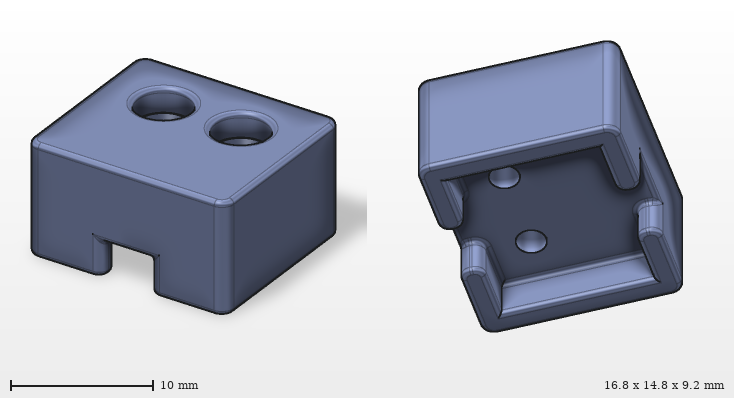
import cadquery as cq

length = 16.8
width = 14.8
height = 9.2
corner_radius = 1.0
edge_radius = 0.4

wall = 1.8
cavity_length = length - 2 * wall
cavity_width = width - 2 * wall
cavity_height = 3.0

slot_width = 4.0
slot_side_radius = 0.8
mouth_roof_radius = 0.4
ceiling_radius = 0.4

hole_spacing = 6.5
hole_back_margin = 5.0
hole_diameter = 2.2
head_diameter = 4.4
seat_diameter = 4.2
head_depth = 2.0
seat_depth = (seat_diameter - hole_diameter) / 2
hole_y = width / 2 - hole_back_margin


def make_block():
    """Block standing on Z = 0 with rounded upright corners."""
    block = cq.Workplane("XY").box(length, width, height, centered=(True, True, False))
    return block.edges("|Z").fillet(corner_radius)


def make_underside_plan():
    """Prism of the hollow and both slots, with rounded upright slot edges."""
    half_slot = slot_width / 2
    half_mouth = half_slot + slot_side_radius
    half_cavity = cavity_length / 2
    outer_y = width / 2
    inner_y = cavity_width / 2
    mouth_y = outer_y - slot_side_radius
    throat_y = inner_y + slot_side_radius
    quarter = (
        cq.Workplane("XY")
        .lineTo(half_cavity, 0)
        .lineTo(half_cavity, inner_y)
        .lineTo(half_mouth, inner_y)
        .radiusArc((half_slot, throat_y), slot_side_radius)
        .lineTo(half_slot, mouth_y)
        .radiusArc((half_mouth, outer_y), slot_side_radius)
        .lineTo(0, outer_y)
        .close()
        .extrude(height)
    )
    half = quarter.union(quarter.mirror("YZ"))
    return half.union(half.mirror("XZ")).clean()


def make_roof_profile():
    """Bar along X under the ceiling line, flaring up at both slot mouths."""
    outer_y = width / 2
    flat_y = outer_y - mouth_roof_radius
    mouth_z = cavity_height + mouth_roof_radius
    return (
        cq.Workplane("YZ")
        .moveTo(-outer_y, 0)
        .lineTo(outer_y, 0)
        .lineTo(outer_y, mouth_z)
        .radiusArc((flat_y, cavity_height), mouth_roof_radius)
        .lineTo(-flat_y, cavity_height)
        .radiusArc((-outer_y, mouth_z), mouth_roof_radius)
        .close()
        .extrude(length / 2, both=True)
    )


def make_screw_hole(x):
    """Revolved cutter: through hole, conical seat and cylindrical head recess."""
    seat_top = height - head_depth
    return (
        cq.Workplane("XZ")
        .lineTo(hole_diameter / 2, 0)
        .lineTo(hole_diameter / 2, seat_top - seat_depth)
        .lineTo(seat_diameter / 2, seat_top)
        .lineTo(head_diameter / 2, seat_top)
        .lineTo(head_diameter / 2, height)
        .lineTo(0, height)
        .close()
        .revolve(360, (0, 0, 0), (0, 1, 0))
        .translate((x, hole_y, 0))
    )


def make_underside():
    """Hollow and slots as one cutter, rounded where the walls meet the ceiling."""
    cutter = make_underside_plan().intersect(make_roof_profile())
    near_x = slot_width / 4
    low_z = cavity_height - mouth_roof_radius
    high_z = cavity_height + mouth_roof_radius
    right = cq.selectors.BoxSelector((near_x, -width, low_z), (length, width, high_z))
    left = cq.selectors.BoxSelector((-length, -width, low_z), (-near_x, width, high_z))
    return cutter.edges(right + left).fillet(ceiling_radius)


body = make_block().cut(make_underside())
body = body.faces("<Z").edges().fillet(edge_radius)

for side in (-1, 1):
    body = body.cut(make_screw_hole(side * hole_spacing / 2))

body = body.faces(">Z").edges().fillet(edge_radius)

result = body